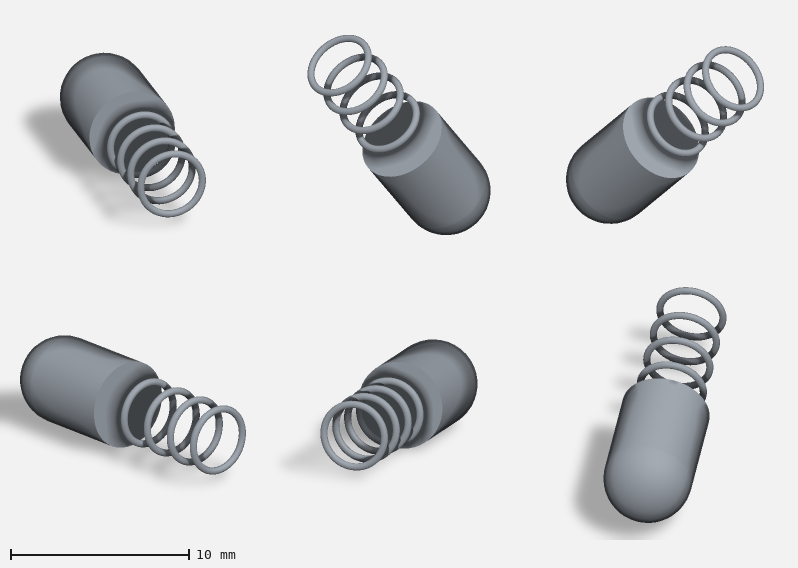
import cadquery as cq

total_length = 16.0
pin_diameter = 5.0
pin_length = 8.0
ring_outer_diameter = 4.0
wire_diameter = 0.4
ring_count = 4
ring_pitch = 2.0

pin_radius = pin_diameter / 2
wire_radius = wire_diameter / 2
ring_mean_radius = ring_outer_diameter / 2 - wire_radius
last_ring_x = total_length - wire_radius
first_ring_x = last_ring_x - (ring_count - 1) * ring_pitch


def make_pin():
    """Solid pin along X with a hemispherical nose whose tip is at the origin."""
    nose_mid_x = pin_radius * (1 - 0.5 ** 0.5)
    nose_mid_y = pin_radius * 0.5 ** 0.5
    half_profile = (
        cq.Workplane("XY")
        .threePointArc((nose_mid_x, nose_mid_y), (pin_radius, pin_radius))
        .lineTo(pin_length, pin_radius)
        .lineTo(pin_length, 0)
        .close()
    )
    return half_profile.revolve(360, (0, 0, 0), (1, 0, 0))


def make_ring(center_x):
    """Round-wire ring around the X axis, centred at center_x."""
    return cq.Solid.makeTorus(
        ring_mean_radius,
        wire_radius,
        cq.Vector(center_x, 0, 0),
        cq.Vector(1, 0, 0),
    )


pin = make_pin()
spring_rings = [make_ring(first_ring_x + i * ring_pitch) for i in range(ring_count)]

result = cq.Compound.makeCompound([pin.val(), *spring_rings])